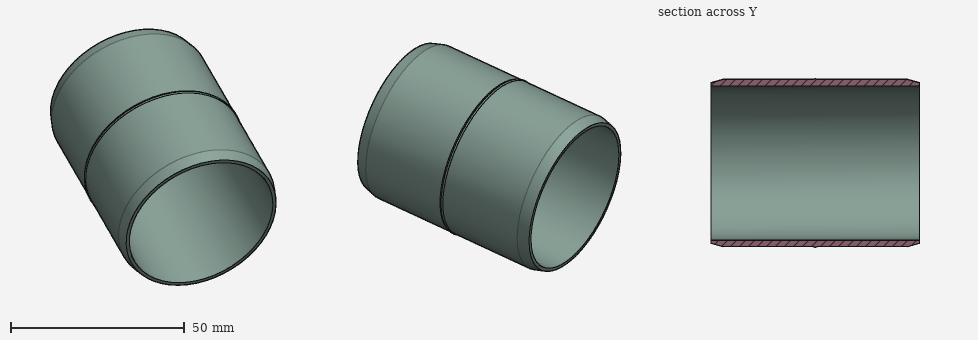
import cadquery as cq

length = 60.0
outer_diameter = 48.3
wall = 2.0
bevel_length = 3.5
end_wall = 1.0
ridge_width = 1.0
ridge_height = 0.2

half_length = length / 2
outer_radius = outer_diameter / 2
inner_radius = outer_radius - wall
end_radius = inner_radius + end_wall
bevel_start = half_length - bevel_length


def make_wall_profile():
    """Half section of the wall: plain bore, bevelled ends and a small V-shaped ridge at mid-length."""
    return (
        cq.Workplane("XZ")
        .moveTo(-half_length, inner_radius)
        .lineTo(-half_length, end_radius)
        .lineTo(-bevel_start, outer_radius)
        .lineTo(-ridge_width / 2, outer_radius)
        .lineTo(0, outer_radius + ridge_height)
        .lineTo(ridge_width / 2, outer_radius)
        .lineTo(bevel_start, outer_radius)
        .lineTo(half_length, end_radius)
        .lineTo(half_length, inner_radius)
        .close()
    )


result = make_wall_profile().revolve(360, (0, 0, 0), (1, 0, 0))